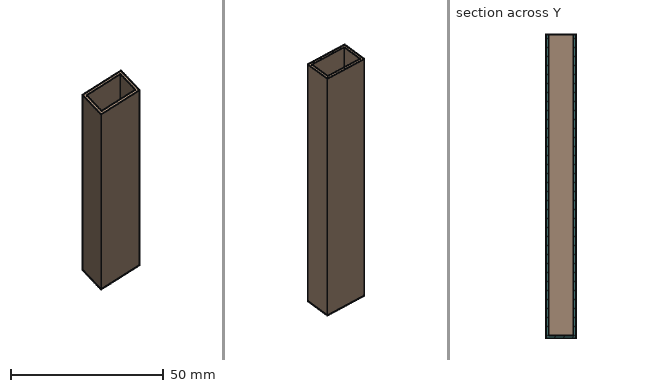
import cadquery as cq

width = 10.0
depth = 16.0
height = 100.0

wall = 1.0
floor = 1.0

tube = cq.Workplane("XY").box(width, depth, height, centered=(True, True, False))

cavity = (
    cq.Workplane("XY")
    .workplane(offset=floor)
    .box(width - 2 * wall, depth - 2 * wall, height - floor, centered=(True, True, False))
)

result = tube.cut(cavity)